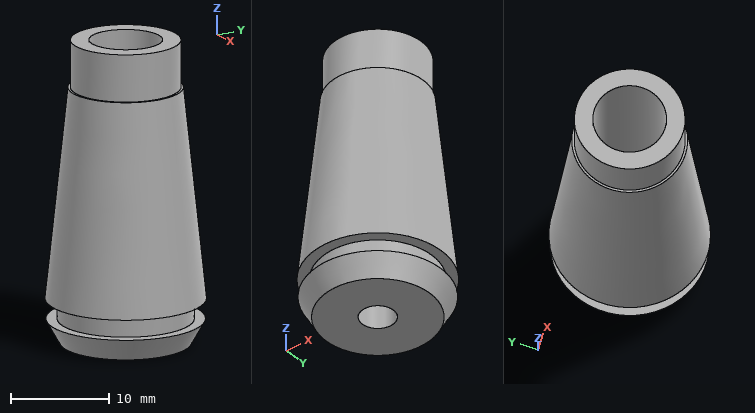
import cadquery as cq
import math

total_height = 32.0
lip_height = 2.5
groove_width = 2.15
collar_height = 5.0
groove_top = lip_height + groove_width
taper_top = total_height - collar_height

lip_bottom_radius = 13.5 / 2
lip_top_radius = 16.3 / 2
groove_radius = 14.0 / 2
collar_radius = 11.3 / 2
taper_large_radius = 16.5 / 2
taper_half_angle = 6.0
taper_small_radius = taper_large_radius - (taper_top - groove_top) * math.tan(math.radians(taper_half_angle))

upper_bore_radius = 7.5 / 2
upper_bore_depth = 20.0
through_hole_radius = 4.0 / 2
seat_half_angle = 60.0
seat_top = total_height - upper_bore_depth
seat_bottom = seat_top - (upper_bore_radius - through_hole_radius) / math.tan(math.radians(seat_half_angle))


def revolve_profile(radius_height_points):
    """Revolve a closed (radius, height) outline around the Z axis."""
    return (
        cq.Workplane("YZ")
        .polyline(radius_height_points)
        .close()
        .revolve(360, (0, 0, 0), (0, 1, 0))
    )


def outer_body():
    """Flared lip, snap groove, long taper and cylindrical collar."""
    return revolve_profile([
        (0, 0),
        (lip_bottom_radius, 0),
        (lip_top_radius, lip_height),
        (groove_radius, lip_height),
        (groove_radius, groove_top),
        (taper_large_radius, groove_top),
        (taper_small_radius, taper_top),
        (collar_radius, taper_top),
        (collar_radius, total_height),
        (0, total_height),
    ])


def bore():
    """Hollow along the axis, open at both ends."""
    return revolve_profile([
        (0, 0),
        (through_hole_radius, 0),
        (through_hole_radius, seat_bottom),
        (upper_bore_radius, seat_top),
        (upper_bore_radius, total_height),
        (0, total_height),
    ])


result = outer_body().cut(bore())